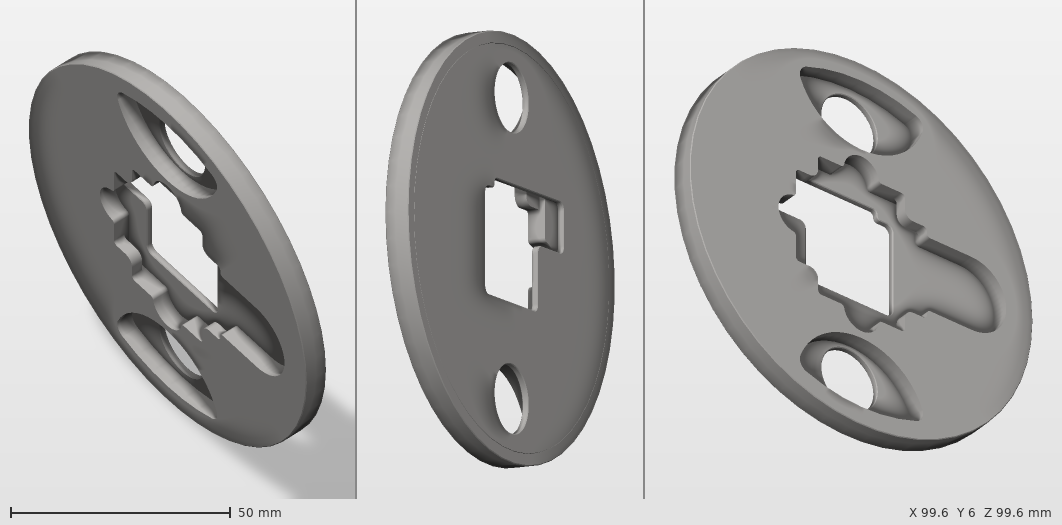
import cadquery as cq
import math


disc_diameter = 99.6
total_thickness = 6.0
rim_chamfer = 0.2
recess_diameter = 94.0

plate_diameter = 93.8
plate_thickness = 1.6
plate_front_y = total_thickness - plate_thickness

cross_reach = 19.0
arm_width = 25.2
arm_half_width = arm_width / 2
lobe_radius = 5.1
slot_radius = 10.1
slot_center_x = 32.0
inner_corner_radius = 2.5
small_corner_radius = 1.0

undercut_depth = 1.4

eye_rim_radius = 45.0
eye_arc_radius = 18.9
eye_arc_center_z = 44.9
eye_corner_radius = 3.0

hole_diameter = 16.0
hole_center_z = 35.0

window_half_width = 12.5
window_top = 14.9
top_step_x = 8.0
notch_bottom = 3.1
notch_reach = 25.0
window_corner_radius = 1.8
top_step_radius = 1.1
opening_chamfer = 0.2

pick_reach = 0.1


def cylinder(diameter, front_y, depth, x=0.0, z=0.0):
    """Solid cylinder along +Y that starts at front_y."""
    plane = cq.Workplane("XZ", origin=(x, front_y, z))
    return plane.circle(diameter / 2).extrude(-depth)


def box(x_min, x_max, z_half, front_y, depth):
    """Block along +Y that starts at front_y, symmetric about z = 0."""
    plane = cq.Workplane("XZ", origin=((x_min + x_max) / 2, front_y, 0))
    return plane.rect(x_max - x_min, 2 * z_half).extrude(-depth)


def fillet_corners(body, corners, radius):
    """Round the edges along Y that pass through the given (x, z) corners."""
    edges = []
    for x, z in corners:
        low = (x - pick_reach, 0, z - pick_reach)
        high = (x + pick_reach, total_thickness, z + pick_reach)
        edges += body.edges("|Y").edges(cq.selectors.BoxSelector(low, high)).vals()
    return body.newObject(edges).fillet(radius)


def with_mirror(corners):
    """The given corners and their mirror images about z = 0."""
    return corners + [(x, -z) for x, z in corners]


def cross_cutter():
    depth = plate_front_y
    upright = box(-arm_half_width, arm_half_width, cross_reach, 0, depth)
    level = box(-cross_reach, cross_reach, arm_half_width, 0, depth)
    slot = box(0, slot_center_x, slot_radius, 0, depth)
    slot_end = cylinder(2 * slot_radius, 0, depth, slot_center_x)
    cutter = upright.union(level).union(slot).union(slot_end)
    for x, z in ((0, cross_reach), (0, -cross_reach), (-cross_reach, 0)):
        cutter = cutter.union(cylinder(2 * lobe_radius, 0, depth, x, z))

    inner_corners = with_mirror([
        (arm_half_width, arm_half_width),
        (-arm_half_width, arm_half_width),
    ])
    small_corners = with_mirror([
        (arm_half_width, cross_reach),
        (-arm_half_width, cross_reach),
        (cross_reach, arm_half_width),
        (-cross_reach, arm_half_width),
        (lobe_radius, cross_reach),
        (-lobe_radius, cross_reach),
        (-cross_reach, lobe_radius),
        (cross_reach, slot_radius),
    ])
    cutter = fillet_corners(cutter, inner_corners, inner_corner_radius)
    return fillet_corners(cutter, small_corners, small_corner_radius)


def undercut_cutter():
    return box(-cross_reach, cross_reach, cross_reach, plate_front_y - undercut_depth, undercut_depth)


def eye_cutter(side):
    """Eye opening above (side = 1) or below (side = -1) the cross."""
    rim_disc = cylinder(2 * eye_rim_radius, 0, plate_front_y)
    arc_disc = cylinder(2 * eye_arc_radius, 0, plate_front_y, 0, side * eye_arc_center_z)
    corner_z = (eye_rim_radius**2 - eye_arc_radius**2 + eye_arc_center_z**2) / (2 * eye_arc_center_z)
    corner_x = math.sqrt(eye_rim_radius**2 - corner_z**2)
    corners = [(corner_x, side * corner_z), (-corner_x, side * corner_z)]
    return fillet_corners(rim_disc.intersect(arc_disc), corners, eye_corner_radius)


def window_cutter():
    w = window_half_width
    step_corners = [(top_step_x, w), (top_step_x, window_top)]
    wide_corners = [
        (-notch_reach, window_top),
        (-notch_reach, notch_bottom),
        (-w, notch_bottom),
        (-w, -w),
        (w, -w),
        (w, w),
    ]
    plane = cq.Workplane("XZ", origin=(0, plate_front_y, 0))
    cutter = plane.polyline(step_corners + wide_corners).close().extrude(-plate_thickness)
    cutter = fillet_corners(cutter, wide_corners, window_corner_radius)
    return fillet_corners(cutter, step_corners, top_step_radius)


def make_housing():
    body = cylinder(disc_diameter, 0, total_thickness).edges().chamfer(rim_chamfer)
    body = body.cut(cylinder(recess_diameter, plate_front_y, plate_thickness))
    body = body.cut(cross_cutter()).cut(undercut_cutter())
    for side in (1, -1):
        body = body.cut(eye_cutter(side))
    return body


def make_plate():
    body = cylinder(plate_diameter, plate_front_y, plate_thickness).cut(window_cutter())
    for side in (1, -1):
        body = body.cut(cylinder(hole_diameter, plate_front_y, plate_thickness, 0, side * hole_center_z))

    opening_edges = []
    for face in body.faces("<Y or >Y").vals():
        for wire in face.innerWires():
            opening_edges += wire.Edges()
    return body.newObject(opening_edges).chamfer(opening_chamfer)


housing = make_housing()
cover_plate = make_plate()
result = cq.Compound.makeCompound([housing.val(), cover_plate.val()])